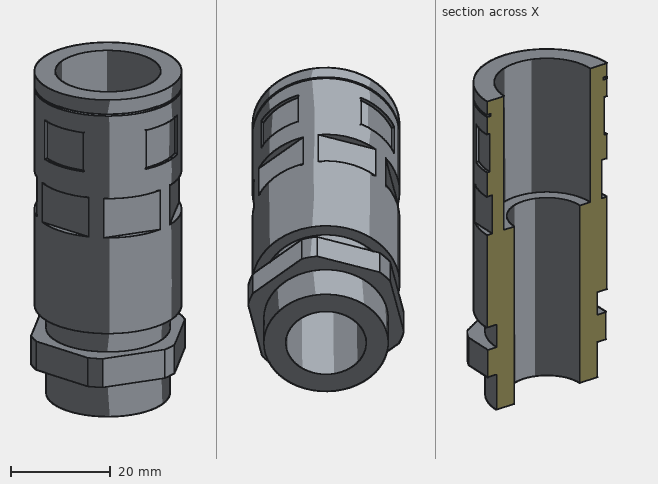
import cadquery as cq

total_height = 70.0
nut_bottom = 7.9
nut_top = 14.15
body_bottom = 19.1
flats_bottom = 40.0
flats_top = 48.5
window_bottom = 54.05
window_top = 62.5
groove_bottom = 66.5
groove_top = 66.9

body_radius = 14.8
neck_radius = 12.45
groove_radius = 13.85
upper_bore_radius = 10.6
lower_bore_radius = 8.05
flats_across = 26.95
nut_across_flats = 29.1
nut_across_corners = 32.0
window_width = 9.95
window_floor_radius = 14.15
window_count = 4

hexagon_turn = 30

bore_step = flats_bottom


def cylinder(radius, bottom, top):
    return cq.Workplane("XY").workplane(offset=bottom).circle(radius).extrude(top - bottom)


def hexagon(across_flats, bottom, top):
    """Hexagonal prism with corners on the X axis and flats facing +Y and -Y."""
    return (
        cq.Workplane("XY")
        .workplane(offset=bottom)
        .polygon(6, across_flats, circumscribed=True)
        .extrude(top - bottom)
        .rotate((0, 0, 0), (0, 0, 1), hexagon_turn)
    )


def rounded_hexagon(across_flats, corner_radius, bottom, top):
    """Hexagonal prism whose corners are turned down to a cylinder."""
    return hexagon(across_flats, bottom, top).intersect(cylinder(corner_radius, bottom, top))


def window_pockets():
    """Shallow rectangular pockets with cylindrical floors, spaced evenly around the body."""
    height = window_top - window_bottom
    ring = cylinder(body_radius, window_bottom, window_top).cut(
        cylinder(window_floor_radius, window_bottom, window_top)
    )
    blocks = cq.Workplane("XY")
    for index in range(window_count):
        block = (
            cq.Workplane("XY")
            .box(body_radius, window_width, height, centered=(False, True, False))
            .translate((0, 0, window_bottom))
            .rotate((0, 0, 0), (0, 0, 1), index * 360 / window_count)
        )
        blocks = blocks.add(block)
    return blocks.combine().intersect(ring)


neck = cylinder(neck_radius, 0, body_bottom)
nut = rounded_hexagon(nut_across_flats, nut_across_corners / 2, nut_bottom, nut_top)
sleeve = cylinder(body_radius, body_bottom, flats_bottom)
wrench_flats = rounded_hexagon(flats_across, body_radius, flats_bottom, flats_top)
upper_body = cylinder(body_radius, flats_top, groove_bottom).cut(window_pockets())
groove_core = cylinder(groove_radius, groove_bottom, groove_top)
collar = cylinder(body_radius, groove_top, total_height)

outside = neck
for section in (nut, sleeve, wrench_flats, upper_body, groove_core, collar):
    outside = outside.union(section)

lower_bore = cylinder(lower_bore_radius, 0, bore_step)
upper_bore = cylinder(upper_bore_radius, bore_step, total_height)
result = outside.cut(lower_bore).cut(upper_bore)